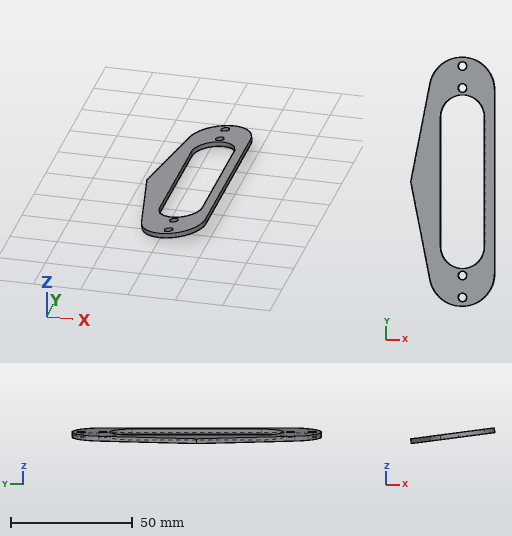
import cadquery as cq
import math

length = 102.2
width = 34.7
thickness = 2.0
tilt_angle = 7.5
end_radius = 13.5
slot_length = 71.2
slot_width = 18.2
hole_diameter = 3.5
hole_offsets = (38.4, 47.4)
opening_x = 0.2

end_center_y = length / 2 - end_radius
tip_x = end_radius - width

tip_to_center = math.hypot(tip_x, end_center_y)
slant_angle = math.atan2(-tip_x, end_center_y) - math.asin(end_radius / tip_to_center)
tangent_x = -end_radius * math.cos(slant_angle)
tangent_y = end_center_y + end_radius * math.sin(slant_angle)


def make_plate():
    """Rounded plate with a shallow point on its left side."""
    return (
        cq.Workplane("XY")
        .moveTo(tip_x, 0)
        .lineTo(tangent_x, tangent_y)
        .threePointArc((0, length / 2), (end_radius, end_center_y))
        .lineTo(end_radius, -end_center_y)
        .threePointArc((0, -length / 2), (tangent_x, -tangent_y))
        .close()
        .extrude(thickness)
    )


def cut_openings(plate):
    """Cut the long central slot and two holes at each end."""
    hole_points = [(opening_x, side * offset) for side in (-1, 1) for offset in hole_offsets]
    slotted = (
        plate.faces(">Z")
        .workplane(origin=(0, 0, 0))
        .center(opening_x, 0)
        .slot2D(slot_length, slot_width, 90)
        .cutThruAll()
    )
    return slotted.faces(">Z").workplane(origin=(0, 0, 0)).pushPoints(hole_points).hole(hole_diameter)


result = cut_openings(make_plate()).rotate((0, 0, 0), (0, 1, 0), -tilt_angle)